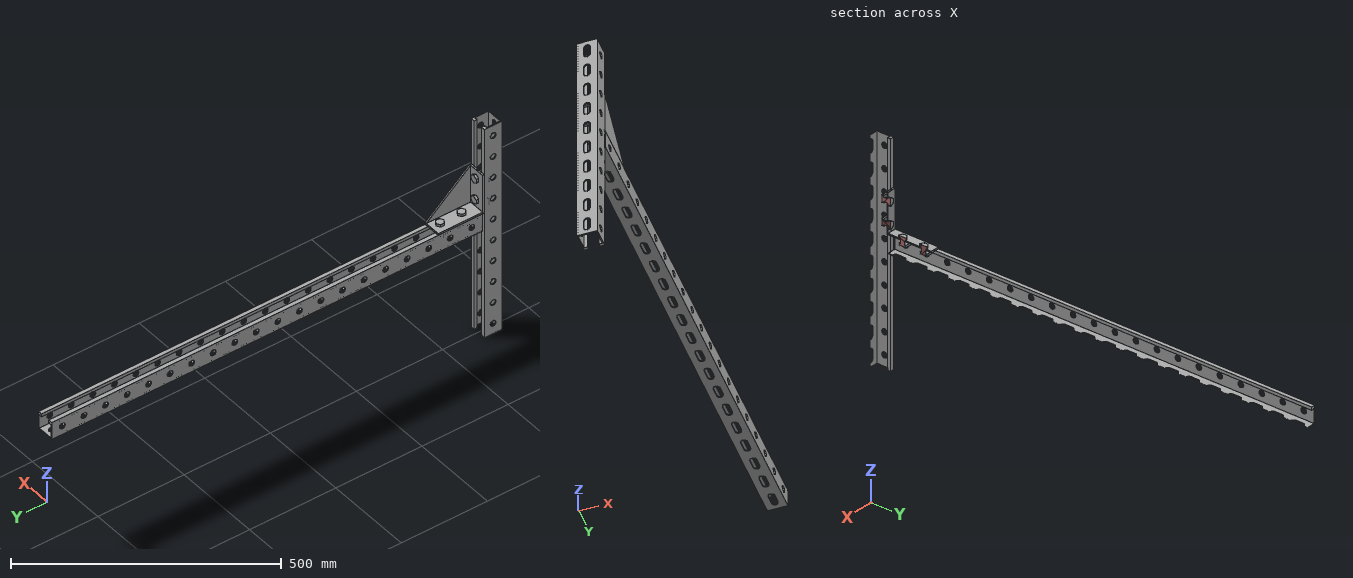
import cadquery as cq
import math

rail_width = 41.0
rail_depth = 41.0
wall = 2.5
lip = 7.0
mouth_width = 22.0
hole_pitch = 50.0
first_hole = hole_pitch / 2
slot_length = 30.0
slot_width = 12.5
side_hole_diameter = 12.5

upright_height = 500.0
arm_length = 1000.0
arm_top = 300.0

plate = 4.0
base_length = 107.0
back_height = 92.0
arm_bolt_offset = 37.5
upright_bolt_offset = 22.5
bolt_pitch = hole_pitch
bolts_per_leg = 2

head_across_flats = 16.0
head_height = 5.5
shank_diameter = 10.0
nut_length = rail_width - 2 * wall
nut_width = 16.0
nut_thickness = 5.0

arm_start = rail_depth + plate
head_across_corners = head_across_flats / math.cos(math.pi / 6)
arm_bolt_positions = [rail_depth + arm_bolt_offset + i * bolt_pitch for i in range(bolts_per_leg)]
upright_bolt_heights = [arm_top + upright_bolt_offset + i * bolt_pitch for i in range(bolts_per_leg)]


def make_rail(length):
    """Rail along +Z from the origin, web on the XZ plane and mouth facing +Y."""
    rail = cq.Workplane("XY").box(rail_width, rail_depth, length, centered=(True, False, False))
    bore = (
        cq.Workplane("XY")
        .box(rail_width - 2 * wall, rail_depth - wall - lip, length, centered=(True, False, False))
        .translate((0, wall, 0))
    )
    mouth = (
        cq.Workplane("XY")
        .box(mouth_width, 2 * lip, length, centered=(True, True, False))
        .translate((0, rail_depth, 0))
    )
    hole_heights = [first_hole + i * hole_pitch for i in range(round(length / hole_pitch))]
    web_slots = (
        cq.Workplane("XZ")
        .pushPoints([(0, z) for z in hole_heights])
        .slot2D(slot_length, slot_width, 90)
        .extrude(-wall)
    )
    side_holes = (
        cq.Workplane("YZ")
        .pushPoints([(rail_depth / 2, z) for z in hole_heights])
        .circle(side_hole_diameter / 2)
        .extrude(rail_width / 2, both=True)
    )
    return rail.cut(bore).cut(mouth).cut(web_slots).cut(side_holes)


def make_arm():
    """Rail laid along +Y with its mouth upward, starting one plate clear of the upright."""
    lying = make_rail(arm_length).rotate((0, 0, 0), (1, 0, 0), 90)
    turned = lying.rotate((0, 0, 0), (0, 0, 1), 180)
    return turned.translate((0, arm_start, arm_top - rail_depth))


def make_gusset():
    """L-shaped bracket in the corner above the arm, with a triangular cheek on its +X edge."""
    corner_y = rail_depth
    corner_z = arm_top
    angle = (
        cq.Workplane("YZ")
        .moveTo(corner_y, corner_z)
        .lineTo(corner_y + base_length, corner_z)
        .lineTo(corner_y + base_length, corner_z + plate)
        .lineTo(corner_y + plate, corner_z + plate)
        .lineTo(corner_y + plate, corner_z + back_height)
        .lineTo(corner_y, corner_z + back_height)
        .close()
        .extrude(rail_width / 2, both=True)
    )
    cheek = (
        cq.Workplane("YZ", origin=(rail_width / 2 - plate, 0, 0))
        .moveTo(corner_y + plate, corner_z + plate)
        .lineTo(corner_y + base_length, corner_z + plate)
        .lineTo(corner_y + plate, corner_z + back_height)
        .close()
        .extrude(plate)
    )
    base_holes = (
        cq.Workplane("XY", origin=(0, 0, corner_z))
        .pushPoints([(0, y) for y in arm_bolt_positions])
        .circle(shank_diameter / 2)
        .extrude(plate)
    )
    back_holes = (
        cq.Workplane("XZ", origin=(0, corner_y, 0))
        .pushPoints([(0, z) for z in upright_bolt_heights])
        .circle(shank_diameter / 2)
        .extrude(-plate)
    )
    return angle.union(cheek).cut(base_holes).cut(back_holes)


def make_channel_bolt():
    """Bolt along Z with the outer face of the rail lips at Z = 0; nut length along X."""
    head = (
        cq.Workplane("XY", origin=(0, 0, plate))
        .transformed(rotate=(0, 0, 90))
        .polygon(6, head_across_corners)
        .extrude(head_height)
    )
    shank = cq.Workplane("XY", origin=(0, 0, -lip)).circle(shank_diameter / 2).extrude(lip + plate)
    nut = (
        cq.Workplane("XY")
        .box(nut_length, nut_width, nut_thickness, centered=(True, True, False))
        .translate((0, 0, -lip - nut_thickness))
    )
    return nut.union(shank).union(head)


upright = make_rail(upright_height)
arm = make_arm()
gusset = make_gusset()
channel_bolt = make_channel_bolt()

arm_bolts = []
for y in arm_bolt_positions:
    arm_bolts.append(channel_bolt.translate((0, y, arm_top)))

upright_bolt = channel_bolt.rotate((0, 0, 0), (1, 0, 0), -90)
upright_bolts = []
for z in upright_bolt_heights:
    upright_bolts.append(upright_bolt.translate((0, rail_depth, z)))

bolts = arm_bolts + upright_bolts
result = cq.Compound.makeCompound(
    [upright.val(), arm.val(), gusset.val(), *[bolt.val() for bolt in bolts]]
)